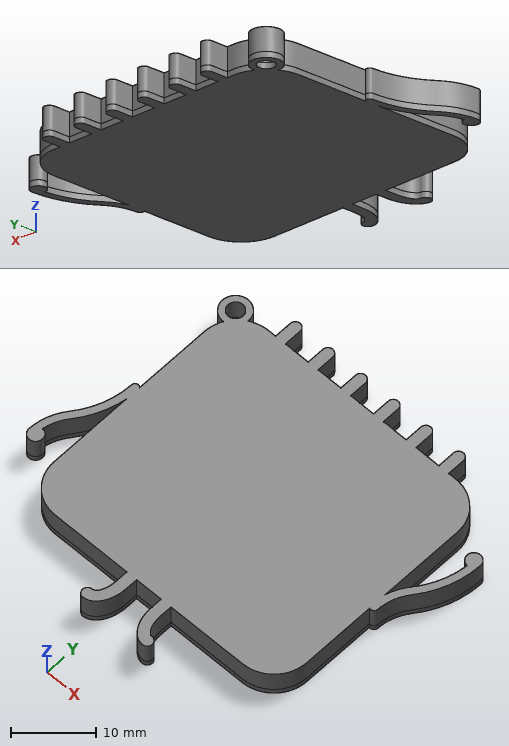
import cadquery as cq
import math

total_height = 4.0
base_height = 0.8
upper_height = total_height - base_height

plate_width = 41.2
plate_depth = 36.25
plate_corner_radius = 5.35
plate_center_x = 0.08
plate_center_y = 1.4
plate_back_y = plate_center_y + plate_depth / 2
plate_front_y = plate_center_y - plate_depth / 2

finger_count = 6
finger_row_span = 26.6
finger_pitch = finger_row_span / (finger_count - 1)
finger_width = 1.6
finger_length = 3.3

ring_center = (-19.95, 18.9)
ring_diameter = 4.25
ring_hole_diameter = 2.4

arm_width = 1.1
arm_reach = 25.9
arm_tip_radius = arm_width
arm_root_x = 20.95
arm_end_x = arm_reach - arm_width / 2
left_arm_root_y = 2.85
left_arm_end_y = -10.0
left_arm_root_bend_radius = 13.15
right_arm_root_y = -0.2
right_arm_end_y = 12.7
right_arm_root_bend_radius = 7.65

leg_spacing = 5.6
leg_width = 1.6
leg_tip_x = 4.85
leg_bend_y = -18.55
leg_bottom_y = -22.9
leg_tip_radius = leg_width / 2

root_overlap = 1.05


def plate(height):
    return (
        cq.Workplane("XY")
        .center(plate_center_x, plate_center_y)
        .rect(plate_width, plate_depth)
        .extrude(height)
        .edges("|Z")
        .fillet(plate_corner_radius)
    )


def fingers(height):
    """Back fingers, each a slot shape whose inner end is buried in the plate."""
    slot_length = finger_length + root_overlap + finger_width / 2
    slot_center_y = plate_back_y + finger_length - slot_length / 2
    first_x = plate_center_x - finger_row_span / 2
    centers = [(first_x + i * finger_pitch, slot_center_y) for i in range(finger_count)]
    return cq.Workplane("XY").pushPoints(centers).slot2D(slot_length, finger_width, 90).extrude(height)


def arm(height, side, root_y, end_y, root_bend_radius):
    """Constant-width S of two tangent arcs, parallel to Y at both ends, with a round tip.

    side is -1 for the left arm and 1 for the right arm.
    """
    shift = arm_end_x - arm_root_x
    rise = abs(end_y - root_y)
    direction = math.copysign(1, end_y - root_y)
    bend_angle = 2 * math.atan2(shift, rise)
    end_bend_radius = rise / math.sin(bend_angle) - root_bend_radius

    def root_bend_point(angle):
        x = arm_root_x + root_bend_radius * (1 - math.cos(angle))
        return (side * x, root_y + direction * root_bend_radius * math.sin(angle))

    def end_bend_point(angle):
        x = arm_end_x - end_bend_radius * (1 - math.cos(angle))
        return (side * x, end_y - direction * end_bend_radius * math.sin(angle))

    strip = (
        cq.Workplane("XY")
        .moveTo(*root_bend_point(0))
        .threePointArc(root_bend_point(bend_angle / 2), root_bend_point(bend_angle))
        .threePointArc(end_bend_point(bend_angle / 2), end_bend_point(0))
        .offset2D(arm_width / 2)
        .extrude(height)
    )
    tip = (
        cq.Workplane("XY")
        .center(side * (arm_reach - arm_tip_radius), end_y)
        .circle(arm_tip_radius)
        .extrude(height)
    )
    return strip.union(tip)


def left_arm(height):
    return arm(height, -1, left_arm_root_y, left_arm_end_y, left_arm_root_bend_radius)


def right_arm(height):
    return arm(height, 1, right_arm_root_y, right_arm_end_y, right_arm_root_bend_radius)


def right_leg(height):
    """Right leg of a pair centered on X = 0.

    A straight stem bends through quarter ellipses into a round tip.
    """
    inner_x = leg_spacing / 2 - leg_width / 2
    outer_x = leg_spacing / 2 + leg_width / 2
    long_bend = (leg_tip_x - inner_x, leg_bend_y - leg_bottom_y)
    short_bend = (leg_tip_x - outer_x, long_bend[1] - leg_width)

    def bend_quarter(semi_axes):
        ellipse = cq.Workplane("XY").center(leg_tip_x, leg_bend_y).ellipse(*semi_axes).extrude(height)
        corner = (
            cq.Workplane("XY")
            .center(leg_tip_x, leg_bend_y)
            .rect(-long_bend[0], -long_bend[1], centered=False)
            .extrude(height)
        )
        return ellipse.intersect(corner)

    bend = bend_quarter(long_bend).cut(bend_quarter(short_bend))
    stem = (
        cq.Workplane("XY")
        .center(inner_x, leg_bend_y)
        .rect(leg_width, plate_front_y + root_overlap - leg_bend_y, centered=False)
        .extrude(height)
    )
    tip = (
        cq.Workplane("XY")
        .center(leg_tip_x, leg_bottom_y + leg_tip_radius)
        .circle(leg_tip_radius)
        .extrude(height)
    )
    return stem.union(bend).union(tip)


def legs(height):
    """The two legs, mirror images about the middle of the plate."""
    leg = right_leg(height)
    return leg.union(leg.mirror("YZ")).translate((plate_center_x, 0, 0))


def layer(height):
    """One sheet of the full outline, standing on the XY plane."""
    ring = cq.Workplane("XY").center(*ring_center).circle(ring_diameter / 2).extrude(height)
    ring_hole = cq.Workplane("XY").center(*ring_center).circle(ring_hole_diameter / 2).extrude(height)
    return (
        plate(height)
        .union(fingers(height))
        .union(left_arm(height))
        .union(right_arm(height))
        .union(legs(height))
        .union(ring)
        .cut(ring_hole)
    )


base_sheet = layer(base_height).solids().val()
upper_layer = layer(upper_height).translate((0, 0, base_height)).solids().val()

result = cq.Compound.makeCompound([base_sheet, upper_layer])